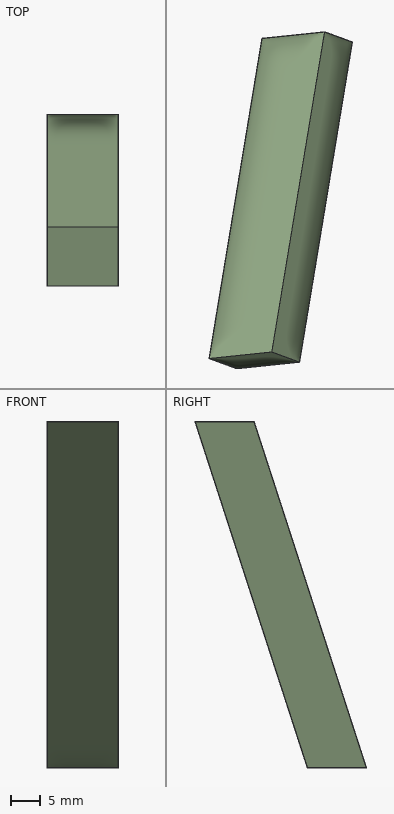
import cadquery as cq

width = 12.0
end_depth = 10.0
total_depth = 28.98
height = 58.48

lean = total_depth - end_depth

side_profile = [
    (0, 0),
    (end_depth, 0),
    (end_depth - lean, height),
    (-lean, height),
]

result = (
    cq.Workplane("YZ")
    .polyline(side_profile)
    .close()
    .extrude(width / 2, both=True)
)